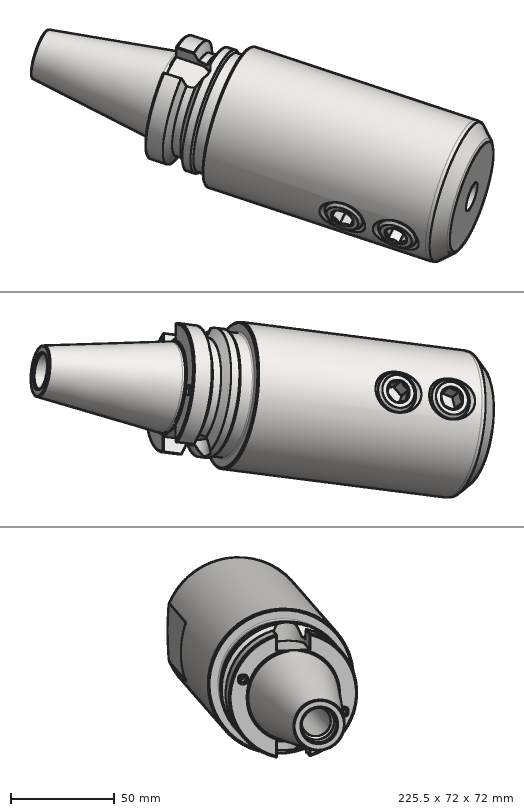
import cadquery as cq
import math


LENGTH = 225.5
TAPER_END = 65.4
FLANGE_START = 67.5
FLANGE_FRONT_END = 76.9
GROOVE_START = 79.5
GROOVE_END = 83.8
FLANGE_REAR_START = 87.0
FLANGE_END = 92.5
BODY_START = 99.2
NOSE_LEAD_START = 216.0
NOSE_CONE_START = 218.0
NOSE_CONE_END = 224.5

TAPER_SMALL_RADIUS = 12.6
TAPER_LARGE_RADIUS = 22.3
FLANGE_RADIUS = 31.5
GROOVE_RADIUS = 26.4
NECK_RADIUS = 30.5
BODY_DIAMETER = 72.0
BODY_RADIUS = BODY_DIAMETER / 2
NOSE_LEAD_RADIUS = 35.6
NOSE_CONE_END_RADIUS = 29.5
NOSE_FACE_RADIUS = 28.0

TAPER_TIP_CHAMFER = 0.5
BODY_CHAMFER = 0.7
FLANGE_FRONT_CHAMFER = 0.7
FLANGE_REAR_CHAMFER = 1.1
ROOT_FILLET = 0.7

BORE_RADIUS = 7.2
MOUTH_RADIUS = 8.5
MOUTH_DEPTH = 6.8
MOUTH_CHAMFER = 0.7

SLOT_WIDTH = 16.0
SLOT_FLOOR = 22.5
SLOT_END = 88.4
SLOT_CHAMFER = 0.5

COOLANT_RADIUS = 1.5
COOLANT_MOUTH_RADIUS = 2.5
COOLANT_CIRCLE_RADIUS = 26.4
COOLANT_ANGLE = 20.0
COOLANT_DEPTH = 6.8

FLAT_Y = 33.0
FLAT_START = 173.0

SCREW_SPACING = 28.0
LAST_SCREW_X = 200.4
SCREW_XS = [LAST_SCREW_X - SCREW_SPACING, LAST_SCREW_X]
SCREW_TURNS = [15.0, -15.0]
SCREW_RADIUS = 10.0
SCREW_LENGTH = 20.0
SCREW_TOP_Y = -35.8
SCREW_CHAMFER = 1.5
SOCKET_ACROSS_FLATS = 10.0
SOCKET_DEPTH = 10.0
SOCKET_MOUTH_RADIUS = 5.9
COUNTERSINK_RADIUS = 12.0


def root_fillet(shoulder_x, shaft_radius):
    """Middle and end points of the fillet arc where a shaft meets a shoulder face."""
    sag = ROOT_FILLET * (1 - math.sin(math.pi / 4))
    middle = (shoulder_x - sag, shaft_radius + sag)
    end = (shoulder_x, shaft_radius + ROOT_FILLET)
    return middle, end


def turned_blank():
    """Taper, grooved flange, neck and cylindrical body turned about X."""
    taper_outline = [
        (0, 0),
        (0, TAPER_SMALL_RADIUS - TAPER_TIP_CHAMFER),
        (TAPER_TIP_CHAMFER, TAPER_SMALL_RADIUS),
        (TAPER_END, TAPER_LARGE_RADIUS),
        (FLANGE_START - ROOT_FILLET, TAPER_LARGE_RADIUS),
    ]
    flange_outline = [
        (FLANGE_START, FLANGE_RADIUS - FLANGE_FRONT_CHAMFER),
        (FLANGE_START + FLANGE_FRONT_CHAMFER, FLANGE_RADIUS),
        (FLANGE_FRONT_END, FLANGE_RADIUS),
        (GROOVE_START, GROOVE_RADIUS),
        (GROOVE_END, GROOVE_RADIUS),
        (FLANGE_REAR_START, FLANGE_RADIUS),
        (FLANGE_END - FLANGE_REAR_CHAMFER, FLANGE_RADIUS),
        (FLANGE_END, NECK_RADIUS),
        (BODY_START - ROOT_FILLET, NECK_RADIUS),
    ]
    body_outline = [
        (BODY_START, BODY_RADIUS - BODY_CHAMFER),
        (BODY_START + BODY_CHAMFER, BODY_RADIUS),
        (NOSE_LEAD_START, BODY_RADIUS),
        (NOSE_CONE_START, NOSE_LEAD_RADIUS),
        (NOSE_CONE_END, NOSE_CONE_END_RADIUS),
        (LENGTH, NOSE_FACE_RADIUS),
        (LENGTH, 0),
    ]
    return (
        cq.Workplane("XZ")
        .polyline(taper_outline)
        .threePointArc(*root_fillet(FLANGE_START, TAPER_LARGE_RADIUS))
        .polyline(flange_outline, includeCurrent=True)
        .threePointArc(*root_fillet(BODY_START, NECK_RADIUS))
        .polyline(body_outline, includeCurrent=True)
        .close()
        .revolve(360, (0, 0, 0), (1, 0, 0))
    )


def bore():
    """Through bore with a chamfered, wider mouth at the small end of the taper."""
    outline = [
        (0, 0),
        (0, MOUTH_RADIUS + MOUTH_CHAMFER),
        (MOUTH_CHAMFER, MOUTH_RADIUS),
        (MOUTH_DEPTH, MOUTH_RADIUS),
        (MOUTH_DEPTH + MOUTH_RADIUS - BORE_RADIUS, BORE_RADIUS),
        (LENGTH, BORE_RADIUS),
        (LENGTH, 0),
    ]
    return cq.Workplane("XZ").polyline(outline).close().revolve(360, (0, 0, 0), (1, 0, 0))


def drive_slot():
    """Round-ended slot on the +Z side, with chamfered edges on the flange face and rim."""
    half = SLOT_WIDTH / 2
    wide_half = half + SLOT_CHAMFER
    mouth_start = FLANGE_START - ROOT_FILLET
    mouth_end = FLANGE_START + SLOT_CHAMFER
    channel = (
        cq.Workplane("XY", origin=(0, 0, SLOT_FLOOR))
        .moveTo(mouth_start, -wide_half)
        .lineTo(FLANGE_START, -wide_half)
        .lineTo(mouth_end, -half)
        .lineTo(SLOT_END - half, -half)
        .threePointArc((SLOT_END, 0), (SLOT_END - half, half))
        .lineTo(mouth_end, half)
        .lineTo(FLANGE_START, wide_half)
        .lineTo(mouth_start, wide_half)
        .close()
        .extrude(FLANGE_RADIUS)
    )
    rim_edge_z = math.sqrt(FLANGE_RADIUS**2 - half**2)
    flare_bottom = rim_edge_z - SLOT_CHAMFER
    flare_rise = FLANGE_RADIUS - flare_bottom
    rim_flare = (
        cq.Workplane("YZ", origin=(FLANGE_START, 0, 0))
        .polyline([
            (-half, flare_bottom),
            (half, flare_bottom),
            (half + flare_rise, FLANGE_RADIUS),
            (-half - flare_rise, FLANGE_RADIUS),
        ])
        .close()
        .extrude(FLANGE_FRONT_END - FLANGE_START)
    )
    return channel.union(rim_flare)


def coolant_holes():
    """Two opposite blind holes in the flange face, each with a 45 degree countersink."""
    outline = [
        (0, 0),
        (0, COOLANT_MOUTH_RADIUS),
        (COOLANT_MOUTH_RADIUS - COOLANT_RADIUS, COOLANT_RADIUS),
        (COOLANT_DEPTH, COOLANT_RADIUS),
        (COOLANT_DEPTH, 0),
    ]
    hole = cq.Workplane("XY").polyline(outline).close().revolve(360, (0, 0, 0), (1, 0, 0))
    hole = hole.translate((FLANGE_START, COOLANT_CIRCLE_RADIUS, 0))
    first = hole.rotate((0, 0, 0), (1, 0, 0), COOLANT_ANGLE)
    return first.add(first.rotate((0, 0, 0), (1, 0, 0), 180)).combine()


def side_flat():
    """Material removed for the flat, whose inner end ramps up at 45 degrees."""
    rise = BODY_RADIUS
    return (
        cq.Workplane("XY")
        .polyline([
            (FLAT_START, FLAT_Y),
            (LENGTH, FLAT_Y),
            (LENGTH, FLAT_Y + rise),
            (FLAT_START - rise, FLAT_Y + rise),
        ])
        .close()
        .extrude(BODY_RADIUS, both=True)
    )


def screw_seat(x):
    """Blind screw hole with a 45 degree countersink at the body surface."""
    hole_outline = [
        (0, -BODY_RADIUS),
        (COUNTERSINK_RADIUS, -BODY_RADIUS),
        (SCREW_RADIUS, -BODY_RADIUS + COUNTERSINK_RADIUS - SCREW_RADIUS),
        (SCREW_RADIUS, SCREW_TOP_Y + SCREW_LENGTH),
        (0, SCREW_TOP_Y + SCREW_LENGTH),
    ]
    seat = cq.Workplane("XY").polyline(hole_outline).close().revolve(360, (0, 0, 0), (0, 1, 0))
    return seat.translate((x, 0, 0))


def make_holder():
    """Tool holder: the turned body with every bore, slot, flat and screw seat cut."""
    holder = turned_blank().cut(bore()).cut(coolant_holes()).cut(side_flat())
    slot = drive_slot()
    for turn in (0, 180):
        holder = holder.cut(slot.rotate((0, 0, 0), (1, 0, 0), turn))
    for x in SCREW_XS:
        holder = holder.cut(screw_seat(x))
    return holder


def make_screw(x, turn):
    """Set screw pointing toward the axis, with a chamfered hexagon socket in its outer end."""
    corner_diameter = SOCKET_ACROSS_FLATS / math.cos(math.pi / 6)
    outer_end = cq.Workplane("XZ", origin=(x, SCREW_TOP_Y, 0))
    shank = outer_end.circle(SCREW_RADIUS).extrude(-SCREW_LENGTH)
    shank = shank.faces("<Y").chamfer(SCREW_CHAMFER)
    socket = (
        outer_end.transformed(rotate=(0, 0, turn))
        .polygon(6, corner_diameter)
        .extrude(-SOCKET_DEPTH)
    )
    mouth_cone = cq.Solid.makeCone(
        SOCKET_MOUTH_RADIUS,
        0,
        SOCKET_MOUTH_RADIUS,
        cq.Vector(x, SCREW_TOP_Y, 0),
        cq.Vector(0, 1, 0),
    )
    return shank.cut(socket).cut(cq.Workplane(mouth_cone))


holder = make_holder()
screws = [make_screw(x, turn) for x, turn in zip(SCREW_XS, SCREW_TURNS)]

result = cq.Compound.makeCompound([holder.val(), *[screw.val() for screw in screws]])